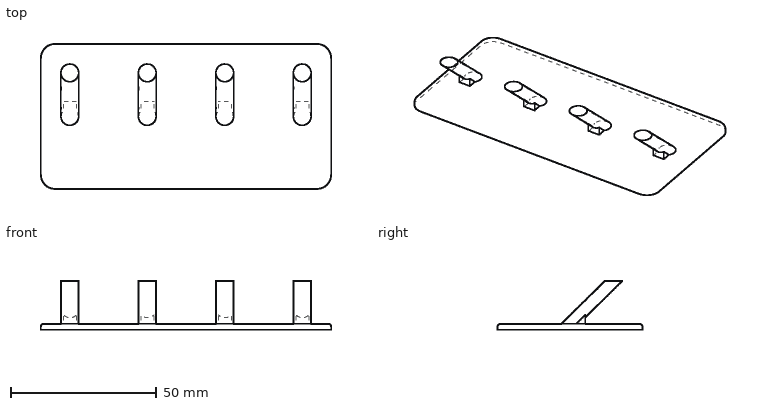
import cadquery as cq

plate_length = 100.0
plate_width = 50.0
plate_thickness = 2.1
corner_radius = 5.0
edge_radius = 1.0

total_height = 16.9
peg_count = 4
peg_row_span = 80.0
peg_diameter = 6.1
peg_foot_y = 0.0
peg_tip_y = 15.0

web_thickness = 4.4
web_back_y = 5.3

peg_height = total_height - plate_thickness
peg_pitch = peg_row_span / (peg_count - 1)
rise_per_run = peg_height / (peg_tip_y - peg_foot_y)


def make_plate():
    """Rounded plate resting on Z = 0, with its top rim rounded over."""
    plate = cq.Workplane("XY").box(
        plate_length, plate_width, plate_thickness, centered=(True, True, False)
    )
    plate = plate.edges("|Z").fillet(corner_radius)
    return plate.faces(">Z").edges().fillet(edge_radius)


def make_peg(x):
    """Oblique cylinder leaning toward +Y, cut level at both ends."""
    return (
        cq.Workplane("XY", origin=(x, peg_foot_y, plate_thickness))
        .circle(peg_diameter / 2)
        .workplane(offset=peg_height)
        .center(0, peg_tip_y - peg_foot_y)
        .circle(peg_diameter / 2)
        .loft(ruled=True)
    )


def make_web(x):
    """Triangular web running from the plate up to the peg's centre line."""
    web_run = web_back_y - peg_foot_y
    return (
        cq.Workplane("YZ", origin=(x, peg_foot_y, plate_thickness))
        .polyline([(0, 0), (web_run, 0), (web_run, web_run * rise_per_run)])
        .close()
        .extrude(web_thickness / 2, both=True)
    )


result = make_plate()
for index in range(peg_count):
    peg_x = index * peg_pitch - peg_row_span / 2
    result = result.union(make_peg(peg_x)).union(make_web(peg_x))